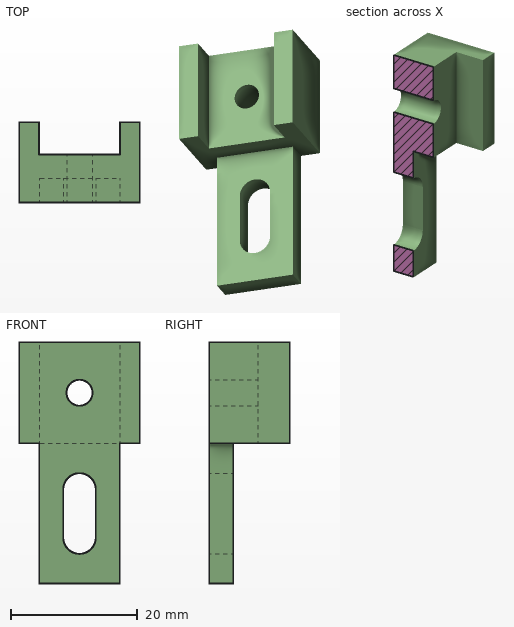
import cadquery as cq

head_width = 19.05
head_depth = 12.7
head_height = 16.0
channel_width = 12.7
channel_depth = 5.08

total_height = 38.1
tab_width = 12.7
tab_thickness = 3.81
tab_height = total_height - head_height

hole_diameter = 4.07
hole_height = total_height - head_height / 2
slot_width = 5.08
slot_length = 12.7
slot_height = tab_height / 2


def make_box(width, depth, height, front, bottom):
    """Box centred on X, with its front face at Y = front and its base at Z = bottom."""
    box = cq.Workplane("XY").box(width, depth, height, centered=(True, False, False))
    return box.translate((0, front, bottom))


def make_head():
    head = make_box(head_width, head_depth, head_height, 0, tab_height)
    channel_floor = head_depth - channel_depth
    channel = make_box(channel_width, channel_depth, head_height, channel_floor, tab_height)
    return head.cut(channel)


def make_tab():
    return make_box(tab_width, tab_thickness, tab_height, 0, 0)


def make_hole():
    return cq.Workplane("XZ").center(0, hole_height).circle(hole_diameter / 2).extrude(-head_depth)


def make_slot():
    profile = cq.Workplane("XZ").center(0, slot_height).slot2D(slot_length, slot_width, 90)
    return profile.extrude(-tab_thickness)


result = make_head().union(make_tab()).cut(make_hole()).cut(make_slot())